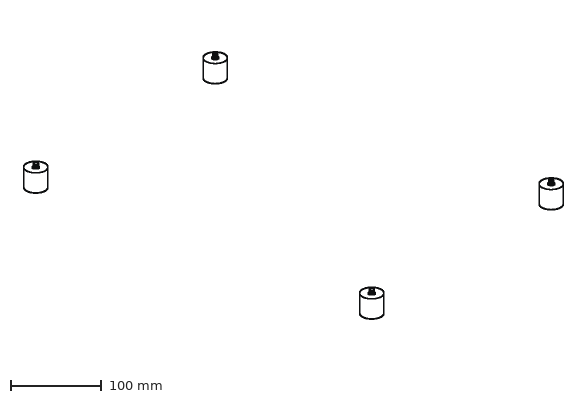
import cadquery as cq

overall_length = 497.0
overall_width = 347.0
overall_height = 31.5

foot_diameter = 27.0
foot_height = 25.5
hole_diameter = 7.5
hole_depth = 12.0

stud_diameter = 6.0
thread_pitch = 1.0
thread_depth = 0.5
tip_chamfer = 1.5

foot_x = (overall_length - foot_diameter) / 2
foot_y = (overall_width - foot_diameter) / 2
hole_floor = foot_height - hole_depth
stud_length = overall_height - hole_floor
thread_length = stud_length - tip_chamfer
ring_count = int(thread_length / thread_pitch)


def make_foot():
    """Cylindrical foot, standing on Z = 0 and centred on the Z axis."""
    hole = cq.Workplane("XY").workplane(offset=hole_floor).circle(hole_diameter / 2).extrude(hole_depth)
    return cq.Workplane("XY").circle(foot_diameter / 2).extrude(foot_height).cut(hole)


def make_stud():
    """Stud with a chamfered tip and V-shaped rings in place of a helical thread."""
    crest = stud_diameter / 2
    root = crest - thread_depth
    profile = cq.Workplane("XZ").moveTo(0, hole_floor).lineTo(crest, hole_floor)
    thread_bottom = overall_height - tip_chamfer - ring_count * thread_pitch
    profile = profile.lineTo(crest, thread_bottom)
    for turn in range(ring_count):
        ring_bottom = thread_bottom + turn * thread_pitch
        profile = profile.lineTo(root, ring_bottom + thread_pitch / 2)
        profile = profile.lineTo(crest, ring_bottom + thread_pitch)
    profile = profile.lineTo(crest - tip_chamfer, overall_height).lineTo(0, overall_height).close()
    return profile.revolve(360, (0, 0, 0), (0, 1, 0))


bodies = []
for x in (-foot_x, foot_x):
    for y in (-foot_y, foot_y):
        bodies.append(make_foot().translate((x, y, 0)).val())
        bodies.append(make_stud().translate((x, y, 0)).val())

result = cq.Compound.makeCompound(bodies)